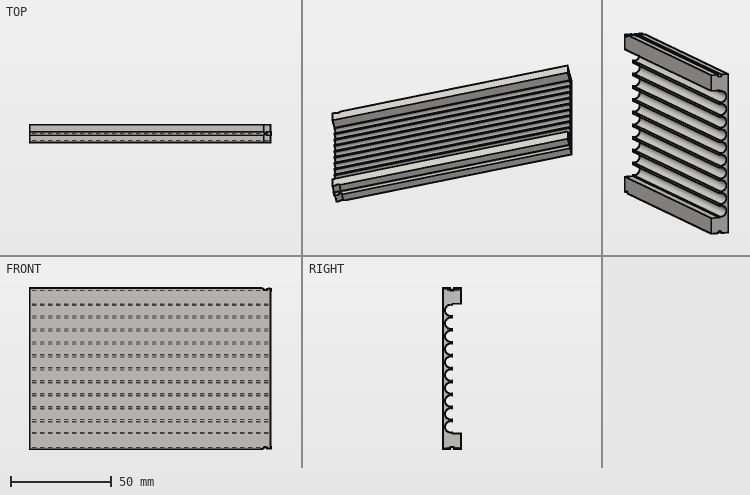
import cadquery as cq

length = 120.0
thickness = 9.0
height = 80.0
lip_length = 0.4
body_length = length - lip_length
half_height = height / 2
front_y = -thickness / 2

scallop_count = 10
scallop_radius = 2.8
front_wall = 1.1
rail_height = 7.9
channel_floor_y = front_y + 4.7
channel_height = height - 2 * rail_height
scallop_pitch = channel_height / scallop_count
scallop_y = front_y + front_wall + scallop_radius

groove_width = 1.8
groove_depth = 1.1

shoulder_start = length - 5.4
notch_start = length - 3.8
notch_end = length - 2.4
notch_middle = (notch_start + notch_end) / 2
dome_middle = (notch_end + body_length) / 2
shoulder_middle = (shoulder_start + notch_start) / 2
shoulder_drop = 0.6
notch_drop = groove_depth
notch_end_drop = 0.7
dome_drop = 0.3
dome_end_drop = 0.42

lip_top_drop = 0.4
lip_height = 1.0

clearance = 1.2


def block(x_start, x_end, y_start, y_end, z_start, z_end):
    """Box between two opposite corners."""
    size = (x_end - x_start, y_end - y_start, z_end - z_start)
    return cq.Workplane("XY").box(*size, centered=False).translate((x_start, y_start, z_start))


def mirrored_pair(shape):
    """Top-edge shape together with its copy on the bottom edge."""
    return shape.union(shape.mirror("XY"))


def back_channel():
    """Open channel and scallops running the full length in X."""
    half_channel = channel_height / 2
    cutter = block(-clearance, length + clearance, channel_floor_y, -front_y + clearance,
                   -half_channel, half_channel)
    centers = [(scallop_y, (i - (scallop_count - 1) / 2) * scallop_pitch) for i in range(scallop_count)]
    scallops = (
        cq.Workplane("YZ", origin=(-clearance, 0, 0))
        .pushPoints(centers)
        .circle(scallop_radius)
        .extrude(length + 2 * clearance)
    )
    return cutter.union(scallops)


def end_profile_cut():
    """Material above the shaped edge near the +X end."""
    cut_top = half_height + clearance
    return (
        cq.Workplane("XZ")
        .moveTo(shoulder_start, half_height)
        .threePointArc((shoulder_middle, half_height - shoulder_drop / 4),
                       (notch_start, half_height - shoulder_drop))
        .threePointArc((notch_middle, half_height - notch_drop),
                       (notch_end, half_height - notch_end_drop))
        .threePointArc((dome_middle, half_height - dome_drop),
                       (body_length, half_height - dome_end_drop))
        .lineTo(body_length, cut_top)
        .lineTo(shoulder_start, cut_top)
        .close()
        .extrude(thickness / 2 + clearance, both=True)
    )


def edge_groove():
    """Arc-bottomed groove along the middle of the top edge."""
    half_width = groove_width / 2
    cut_top = half_height + clearance
    return (
        cq.Workplane("YZ", origin=(-clearance, 0, 0))
        .moveTo(-half_width, half_height)
        .threePointArc((0, half_height - groove_depth), (half_width, half_height))
        .lineTo(half_width, cut_top)
        .lineTo(-half_width, cut_top)
        .close()
        .extrude(length + 2 * clearance)
    )


def end_lip():
    """Lip standing out of the +X face around the groove end."""
    lip_top = half_height - lip_top_drop
    return block(notch_end, length, -groove_width / 2, groove_width / 2,
                 lip_top - lip_height, lip_top)


plate = block(0, body_length, front_y, -front_y, -half_height, half_height)
plate = plate.cut(mirrored_pair(end_profile_cut()))
plate = plate.union(mirrored_pair(end_lip()))
plate = plate.cut(mirrored_pair(edge_groove()))
result = plate.cut(back_channel())